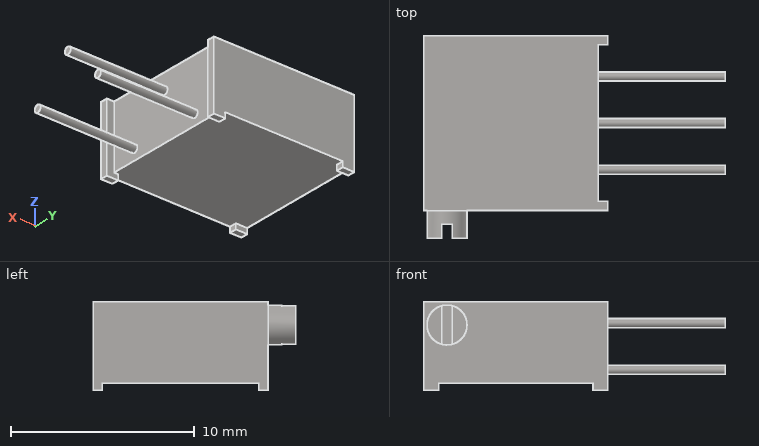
import cadquery as cq


housing_length = 10.03
housing_width = 9.53
housing_height = 4.83
foot_height = 0.38
foot_length = 0.82
foot_width = 0.51
lip_length = 0.51
lip_width = foot_width

screw_diameter = 2.18
screw_length = 1.52
screw_inset = 1.27
slot_width = 0.56
slot_depth = 0.76

overall_length = 16.43
pin_diameter = 0.51
pin_pitch = 2.54
middle_pin_drop = 1.17

pin_face_x = housing_length - lip_length
middle_pin_y = housing_width / 2
middle_pin_z = housing_height - middle_pin_drop


def box(x_range, y_range, z_range):
    """Axis-aligned box between the given limits."""
    (x0, x1), (y0, y1), (z0, z1) = x_range, y_range, z_range
    return cq.Workplane("XY").box(x1 - x0, y1 - y0, z1 - z0, centered=False).translate((x0, y0, z0))


def make_housing():
    """Block with lips beside the pin face and a foot under each corner."""
    housing_x = (0, housing_length)
    housing_y = (0, housing_width)
    housing_z = (0, housing_height)
    between_feet_x = (foot_length, housing_length - foot_length)
    between_feet_y = (foot_width, housing_width - foot_width)
    between_lips_y = (lip_width, housing_width - lip_width)
    foot_z = (0, foot_height)

    block = box(housing_x, housing_y, housing_z)
    lip_recess = box((pin_face_x, housing_length), between_lips_y, housing_z)
    channel_along_y = box(between_feet_x, housing_y, foot_z)
    channel_along_x = box(housing_x, between_feet_y, foot_z)
    return block.cut(lip_recess).cut(channel_along_y).cut(channel_along_x)


def make_screw():
    """Screw head on the -Y wall with a driver slot running along Z."""
    screw_x = screw_inset
    screw_z = housing_height - screw_inset
    radius = screw_diameter / 2
    head = (
        cq.Workplane("XZ", origin=(screw_x, 0, screw_z))
        .circle(radius)
        .extrude(screw_length)
    )
    slot = box(
        (screw_x - slot_width / 2, screw_x + slot_width / 2),
        (-screw_length, slot_depth - screw_length),
        (screw_z - radius, screw_z + radius),
    )
    return head.cut(slot)


def make_pin(y, z):
    """Round pin along +X from the recessed pin face."""
    return (
        cq.Workplane("YZ", origin=(pin_face_x, y, z))
        .circle(pin_diameter / 2)
        .extrude(overall_length - pin_face_x)
    )


result = make_housing().union(make_screw())

result = result.union(make_pin(middle_pin_y, middle_pin_z))
for side in (-1, 1):
    outer_pin_y = middle_pin_y + side * pin_pitch
    outer_pin_z = middle_pin_z - pin_pitch
    result = result.union(make_pin(outer_pin_y, outer_pin_z))